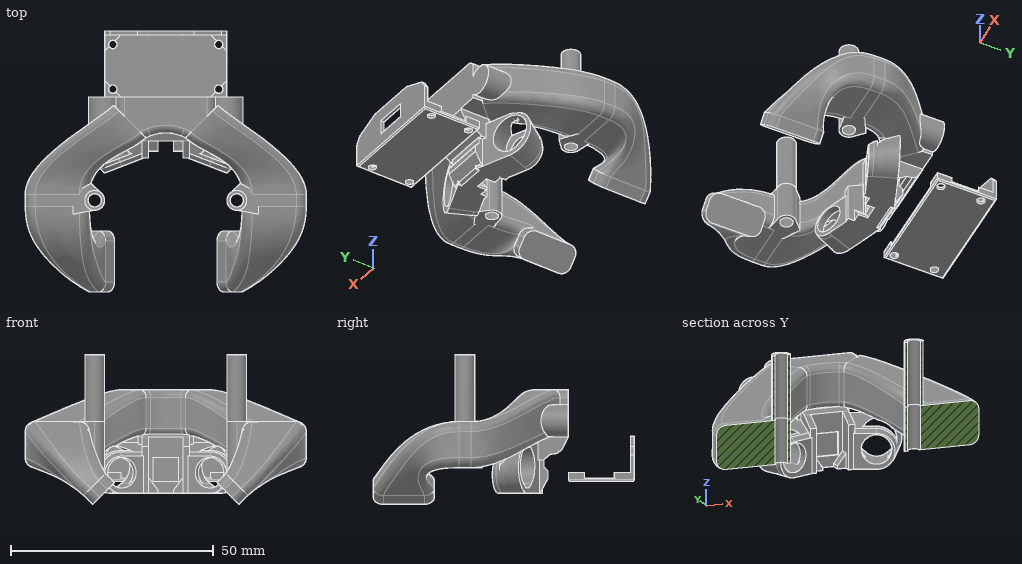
import cadquery as cq
import math


TUBE_X = 17.5
TUBE_Y = -25.5
TUBE_DIAMETER = 4.9
TUBE_BORE = 3.2
TUBE_LENGTH = 16.5

ARM_HEIGHT = 11.4
ARM_OUTER_X = 34.665
ARM_INNER_X = 18.8
ARM_ROUND = 2.5
ARM_STRAIGHT = 3.0
ARM_WIDTH = ARM_OUTER_X - ARM_INNER_X
ARM_CENTRE_X = (ARM_OUTER_X + ARM_INNER_X) / 2
ARM_REAR_Y = TUBE_Y + ARM_STRAIGHT / 2
ARM_FRONT_Y = TUBE_Y - ARM_STRAIGHT / 2
SECTIONS_PER_BEND = 6

REAR_PULL = 26.0
HUB_PULL = 16.0
FRONT_REACH = 12.0

TIP_FRONT_Y = -48.1
TIP_LENGTH = 15.1
TIP_THICKNESS = 7.65
TIP_BLOCK = 3.15
TIP_END_X = 15.3
TIP_LOW_Z = -20.43
DIAGONAL = math.sqrt(0.5)

HUB_TOP = 7.84
HUB_BOTTOM = HUB_TOP - ARM_HEIGHT
HUB_HALF_WIDTH = 12.3
HUB_SHOULDER_ROUND = 2.1
HUB_EDGE_ROUND = 1.9
HUB_ARM_WIDTH = 11.3
HUB_JOINT_X = 8.85
HUB_JOINT_Y = -6.1
HUB_FRONT_MID_Y = -8.9
HUB_CURVE_HALF_WIDTH = 3.8
HUB_CURVE_END_Y = -9.6

STUB_X = 15.1
STUB_Z = 0.2
STUB_DIAMETER = 7.9
STUB_LENGTH = 9.5

BOSS_WEB_REAR_Y = -21.3
BOSS_WEB_FRONT_Y = -28.9
BOSS_WEB_INNER_X = 18.4
BOSS_WEB_OUTER_X = 22.8

HOLDER_BOTTOM = -17.7
HOLDER_HALF_WIDTH = 5.87
HOLDER_FRONT_Y = -15.1
POCKET_HALF_WIDTH = 4.2
POCKET_FLOOR_HALF_WIDTH = 1.9
POCKET_BACK_Y = -10.9
POCKET_LIP_Y = -13.4
POCKET_TAPER_TOP = -13.9
POCKET_TAPER_BOTTOM = -16.9
WINDOW_HALF_WIDTH = 3.1
WINDOW_TOP = -8.9
WINDOW_BOTTOM = -14.8
WINDOW_DEPTH = 0.5
NECK_HALF_WIDTH = 6.8

WING_ANGLE = 21.0
WING_THICKNESS = 7.6
WING_CHAMFER_DEPTH = 1.2
WING_HOLE_X = 10.8
WING_HOLE_Y = -17.15
WING_HOLE_Z = -12.6
WING_HOLE = 7.5
WING_BORE = 10.0
WING_BORE_Z = -11.0
WING_BORE_DEPTH = 5.5
WING_BACK_RADIUS = 6.25
WING_FRONT_RADIUS = 5.1
WING_FACE_RADIUS = 4.6
WING_REACH = 7.4

BRACKET_HALF_WIDTH = 15.05
BRACKET_DEPTH = 16.24
BRACKET_BOTTOM = -14.8
BRACKET_FLOOR = 0.85
BRACKET_EDGE_CHAMFER = 0.35
PAD_TOP = -12.5
PAD_LEG = 4.0
WALL_THICKNESS = 0.95
WALL_TOP = -3.6
WALL_TOP_HALF_WIDTH = 7.0
WALL_SHOULDER_X = 13.7
WALL_SHOULDER_Z = -6.2
WALL_SIDE_TOP = -8.2
SLOT_HALF_WIDTH = 4.3
SLOT_TOP = -7.2
SLOT_BOTTOM = -11.1
SCREW_HOLE = 2.0
SCREW_X = 13.05
SCREW_FRONT_Y = 1.9
SCREW_REAR_Y = 12.9


def mirrored(body):
    return body.mirror("YZ")


def blend(start, end, t):
    """Straight-line blend of two numbers or vectors."""
    return start * (1 - t) + end * t


def curve_point(start, start_pull, end, end_pull, t):
    """Point on the cubic that leaves `start` along start_pull and reaches `end` along end_pull."""
    return (start * (2 * t**3 - 3 * t**2 + 1) + start_pull * (t**3 - 2 * t**2 + t)
            + end * (3 * t**2 - 2 * t**3) + end_pull * (t**3 - t**2))


def rounded_section(centre, normal, inward, width, height, radius):
    """Wire of a rounded rectangle; its width runs along `inward`."""
    plane = cq.Plane(origin=centre, xDir=inward, normal=normal)
    outline = cq.Sketch().rect(width, height).vertices().fillet(radius).reset()
    return outline.faces().val().outerWire().moved(plane.location)


def bend_sections(start, end, start_pull, end_pull=None):
    """Section wires along a curve between two (centre, normal, inward, width, height, radius) ends.

    With two pulls the curve follows both end normals; with one it bends evenly and is free at the end.
    """
    centre0, normal0, inward0, width0, height0, radius0 = start
    centre1, normal1, inward1, width1, height1, radius1 = end
    upward0 = normal0.cross(inward0)
    upward1 = normal1.cross(inward1)
    wires = []
    for step in range(SECTIONS_PER_BEND + 1):
        t = step / SECTIONS_PER_BEND
        if end_pull is None:
            share = t * t
            centre = blend(centre0, centre1, share) + normal0 * (2 * start_pull * t * (1 - t))
        else:
            share = t * t * (3 - 2 * t)
            centre = curve_point(centre0, normal0 * start_pull, centre1, normal1 * end_pull, t)
        across = blend(inward0 * width0, inward1 * width1, share)
        upright = blend(upward0 * height0, upward1 * height1, share)
        radius = blend(radius0, radius1, share)
        wires.append(rounded_section(
            centre, across.cross(upright), across, across.Length, upright.Length, radius))
    return wires


def make_arm():
    mid_z = -ARM_HEIGHT / 2
    forward = cq.Vector(0, -1, 0)
    inward = cq.Vector(1, 0, 0)
    arm_size = (ARM_WIDTH, ARM_HEIGHT, ARM_ROUND)
    straight_rear = (cq.Vector(-ARM_CENTRE_X, ARM_REAR_Y, mid_z), forward, inward, *arm_size)
    straight_front = (cq.Vector(-ARM_CENTRE_X, ARM_FRONT_Y, mid_z), forward, inward, *arm_size)

    hub_joint = (
        cq.Vector(-HUB_JOINT_X, HUB_JOINT_Y, HUB_TOP - ARM_HEIGHT / 2),
        cq.Vector(-DIAGONAL, -DIAGONAL, 0),
        cq.Vector(DIAGONAL, -DIAGONAL, 0),
        HUB_ARM_WIDTH, ARM_HEIGHT, HUB_EDGE_ROUND,
    )

    tip_normal = cq.Vector(DIAGONAL, 0, -DIAGONAL)
    tip_inward = cq.Vector(DIAGONAL, 0, DIAGONAL)
    tip_size = (TIP_THICKNESS, TIP_LENGTH, ARM_ROUND)
    tip_end = cq.Vector(
        -TIP_END_X, TIP_FRONT_Y + TIP_LENGTH / 2, TIP_LOW_Z + TIP_THICKNESS / 2 * DIAGONAL)
    tip_start = tip_end - tip_normal * TIP_BLOCK
    tip = (tip_start, tip_normal, tip_inward, *tip_size)

    rear_bend = bend_sections(hub_joint, straight_rear, HUB_PULL, REAR_PULL)
    front_bend = bend_sections(straight_front, tip, FRONT_REACH)
    straight = [rear_bend[-1], front_bend[0]]
    tip_block = [front_bend[-1], rounded_section(tip_end, tip_normal, tip_inward, *tip_size)]
    arm = cq.Workplane(obj=cq.Solid.makeLoft(rear_bend))
    for sections in (straight, front_bend, tip_block):
        arm = arm.union(cq.Workplane(obj=cq.Solid.makeLoft(sections)))
    return arm


def make_boss():
    radius = TUBE_DIAMETER / 2
    boss = cq.Workplane("XY").center(-TUBE_X, TUBE_Y).circle(radius).extrude(-ARM_HEIGHT)
    reach = radius * DIAGONAL
    web = (
        cq.Workplane("XY")
        .polyline([
            (-BOSS_WEB_OUTER_X, BOSS_WEB_REAR_Y - radius),
            (-BOSS_WEB_INNER_X, BOSS_WEB_REAR_Y),
            (-TUBE_X + reach, TUBE_Y + reach),
            (-TUBE_X, TUBE_Y - radius),
            (-BOSS_WEB_INNER_X - radius / 2, BOSS_WEB_FRONT_Y + radius / 4),
            (-BOSS_WEB_OUTER_X, BOSS_WEB_FRONT_Y),
        ])
        .close().extrude(-ARM_HEIGHT)
    )
    return boss.union(web)


def make_stub():
    return (
        cq.Workplane("XZ", origin=(-STUB_X, 0, STUB_Z))
        .circle(STUB_DIAMETER / 2).extrude(STUB_LENGTH)
    )


def make_hub():
    half_joint = HUB_ARM_WIDTH / 2 * DIAGONAL
    front_x = HUB_JOINT_X - half_joint
    front_y = HUB_JOINT_Y - half_joint
    shoulder_y = HUB_JOINT_Y + (HUB_HALF_WIDTH - HUB_JOINT_X)
    return (
        cq.Workplane("XY", origin=(0, 0, HUB_BOTTOM))
        .moveTo(-HUB_HALF_WIDTH, 0)
        .lineTo(HUB_HALF_WIDTH, 0)
        .lineTo(HUB_HALF_WIDTH, shoulder_y)
        .lineTo(front_x, front_y)
        .lineTo(HUB_CURVE_HALF_WIDTH, HUB_CURVE_END_Y)
        .threePointArc((0, HUB_FRONT_MID_Y), (-HUB_CURVE_HALF_WIDTH, HUB_CURVE_END_Y))
        .lineTo(-front_x, front_y)
        .lineTo(-HUB_HALF_WIDTH, shoulder_y)
        .close().extrude(ARM_HEIGHT)
        .edges(cq.selectors.BoxSelector((-front_x, front_y, HUB_BOTTOM - 1),
                                        (front_x, HUB_FRONT_MID_Y + 1, HUB_TOP + 1))
               - cq.selectors.ParallelDirSelector(cq.Vector(0, 0, 1)))
        .fillet(HUB_EDGE_ROUND)
        .edges(">Z and |Y").fillet(HUB_SHOULDER_ROUND)
    )


def make_holder():
    block_profile = [
        (-4.5, HUB_BOTTOM + 0.5), (HUB_FRONT_MID_Y, HUB_BOTTOM + 0.5), (-10.9, -3.8),
        (HOLDER_FRONT_Y, -6.2), (HOLDER_FRONT_Y, HOLDER_BOTTOM),
        (-7.4, HOLDER_BOTTOM), (-6.6, -17.0), (-5.0, -14.0), (-5.0, -12.2), (-6.0, -11.2), (-6.0, -9.5),
    ]
    neck_profile = [
        (0, HUB_BOTTOM + 0.5), (0, -3.8), (-1.6, -7.0), (-2.9, -7.9), (-4.4, -8.1),
        (-6.2, -9.5), (-8.5, -9.5), (-8.5, HUB_BOTTOM + 0.5),
    ]
    block = (
        cq.Workplane("YZ", origin=(-HOLDER_HALF_WIDTH, 0, 0))
        .polyline(block_profile).close().extrude(2 * HOLDER_HALF_WIDTH)
    )
    neck = (
        cq.Workplane("YZ", origin=(-NECK_HALF_WIDTH, 0, 0))
        .polyline(neck_profile).close().extrude(2 * NECK_HALF_WIDTH)
    )
    return block.union(neck)


def make_pocket():
    """Sensor pocket, open at the front and bottom, with a shallow window in its back wall."""
    half_outline = [
        (POCKET_HALF_WIDTH, HUB_BOTTOM), (POCKET_HALF_WIDTH, POCKET_TAPER_TOP),
        (POCKET_FLOOR_HALF_WIDTH, POCKET_TAPER_BOTTOM), (POCKET_FLOOR_HALF_WIDTH, HOLDER_BOTTOM),
    ]
    outline = half_outline + [(-x, z) for x, z in reversed(half_outline)]
    pocket = (
        cq.Workplane("XZ", origin=(0, POCKET_BACK_Y, 0))
        .polyline(outline).close().extrude(POCKET_BACK_Y - HOLDER_FRONT_Y)
    )
    window = cq.Workplane("XY").box(
        2 * WINDOW_HALF_WIDTH, WINDOW_DEPTH, WINDOW_TOP - WINDOW_BOTTOM, centered=(True, False, False),
    ).translate((0, POCKET_BACK_Y, WINDOW_BOTTOM))
    relief = cq.Workplane("XY").box(
        2 * POCKET_HALF_WIDTH, POCKET_LIP_Y - HOLDER_FRONT_Y, HUB_BOTTOM - HOLDER_BOTTOM,
        centered=(True, False, False),
    ).translate((0, HOLDER_FRONT_Y, HOLDER_BOTTOM))
    return pocket.union(window).union(relief)


def wing_plane(depth):
    """Plane of the tilted wing at a depth behind its front face, centred on the hole axis."""
    angle = math.radians(WING_ANGLE)
    origin = (-WING_HOLE_X - depth * math.sin(angle), WING_HOLE_Y + depth * math.cos(angle), 0)
    return cq.Plane(origin=origin, xDir=(math.cos(angle), math.sin(angle), 0),
                    normal=(math.sin(angle), -math.cos(angle), 0))


def wing_outline(depth, radius):
    middle_z = HOLDER_BOTTOM + radius
    reach = WING_REACH + depth * math.tan(math.radians(WING_ANGLE))
    outline = (
        cq.Workplane(wing_plane(depth))
        .moveTo(reach, HOLDER_BOTTOM)
        .lineTo(reach, middle_z + radius)
        .lineTo(0, middle_z + radius)
        .threePointArc((-radius, middle_z), (0, HOLDER_BOTTOM))
        .close()
    )
    return outline.val()


def make_wing():
    front = wing_outline(0, WING_FACE_RADIUS)
    band = wing_outline(WING_CHAMFER_DEPTH, WING_FRONT_RADIUS)
    back = wing_outline(WING_THICKNESS, WING_BACK_RADIUS)
    wing = cq.Workplane(obj=cq.Solid.makeLoft([front, band], True))
    return wing.union(cq.Workplane(obj=cq.Solid.makeLoft([band, back], True)))


def make_wing_hole():
    hole = (
        cq.Workplane(wing_plane(WING_THICKNESS))
        .center(0, WING_HOLE_Z).circle(WING_HOLE / 2).extrude(WING_THICKNESS)
    )
    bore = (
        cq.Workplane(wing_plane(WING_THICKNESS))
        .center(0, WING_BORE_Z).circle(WING_BORE / 2).extrude(WING_BORE_DEPTH)
    )
    return hole.union(bore)


def make_frame():
    frame = make_hub().union(make_holder())
    left_parts = [make_arm(), make_boss(), make_stub(), make_wing()]
    for part in left_parts:
        frame = frame.union(part).union(mirrored(part))
    tube_bore = (
        cq.Workplane("XY").center(-TUBE_X, TUBE_Y).circle(TUBE_BORE / 2).extrude(-ARM_HEIGHT)
    )
    for cutter in [tube_bore, make_wing_hole()]:
        frame = frame.cut(cutter).cut(mirrored(cutter))
    return frame.cut(make_pocket())


def make_tube(x):
    return (
        cq.Workplane("XY").center(x, TUBE_Y)
        .circle(TUBE_DIAMETER / 2).circle(TUBE_BORE / 2).extrude(TUBE_LENGTH)
    )


def make_bracket():
    floor_height = BRACKET_FLOOR
    floor = (
        cq.Workplane("XY", origin=(0, BRACKET_DEPTH / 2, BRACKET_BOTTOM))
        .rect(2 * BRACKET_HALF_WIDTH, BRACKET_DEPTH).extrude(floor_height)
        .faces("<Z").edges().chamfer(BRACKET_EDGE_CHAMFER)
    )
    half_wall = [
        (BRACKET_HALF_WIDTH, BRACKET_BOTTOM + floor_height), (BRACKET_HALF_WIDTH, WALL_SIDE_TOP),
        (WALL_SHOULDER_X, WALL_SHOULDER_Z), (WALL_TOP_HALF_WIDTH, WALL_TOP),
    ]
    wall = (
        cq.Workplane("XZ", origin=(0, BRACKET_DEPTH, 0))
        .polyline(half_wall + [(-x, z) for x, z in reversed(half_wall)]).close()
        .extrude(WALL_THICKNESS)
    )
    slot = (
        cq.Workplane("XZ", origin=(0, BRACKET_DEPTH, (SLOT_TOP + SLOT_BOTTOM) / 2))
        .rect(2 * SLOT_HALF_WIDTH, SLOT_TOP - SLOT_BOTTOM).extrude(WALL_THICKNESS)
    )
    bracket = floor.union(wall).cut(slot)

    floor_top = BRACKET_BOTTOM + floor_height
    inner_rear_y = BRACKET_DEPTH - WALL_THICKNESS
    for side in (-1, 1):
        for corner_y, into in ((0, 1), (inner_rear_y, -1)):
            corner_x = side * BRACKET_HALF_WIDTH
            pad = (
                cq.Workplane("XY", origin=(0, 0, floor_top))
                .polyline([
                    (corner_x, corner_y),
                    (corner_x - side * PAD_LEG, corner_y),
                    (corner_x, corner_y + into * PAD_LEG),
                ])
                .close().extrude(PAD_TOP - floor_top)
            )
            bracket = bracket.union(pad)

    holes = (
        cq.Workplane("XY", origin=(0, 0, BRACKET_BOTTOM))
        .pushPoints([(x, y) for x in (-SCREW_X, SCREW_X) for y in (SCREW_FRONT_Y, SCREW_REAR_Y)])
        .circle(SCREW_HOLE / 2).extrude(PAD_TOP - BRACKET_BOTTOM)
    )
    return bracket.cut(holes)


frame = make_frame()
tubes = [make_tube(side * TUBE_X) for side in (-1, 1)]
bracket = make_bracket()

result = cq.Compound.makeCompound([
    frame.val(),
    *[tube.val() for tube in tubes],
    bracket.val(),
])